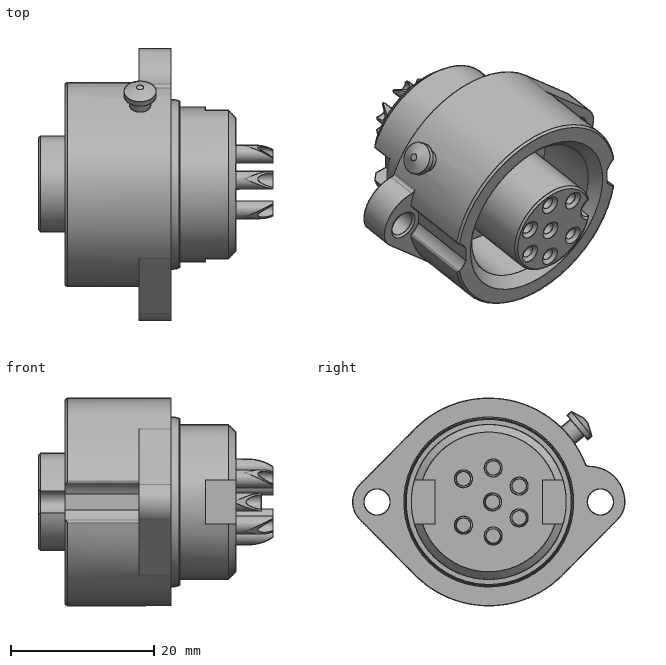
import cadquery as cq
import math


SHELL_FRONT = 3.7
FLANGE_FRONT = 14.0
CAVITY_FLOOR = 14.45
SHELL_REAR = 18.5
COLLAR_REAR = 19.75
SLOT_FRONT = 23.3
PIN_ROOT = 25.38
BODY_REAR = 27.55
PIN_END = 32.7
CENTRE_PIN_END = 31.08

SHELL_R = 14.495
SHELL_CHAMFER_LENGTH = 0.35
SHELL_CHAMFER_DEPTH = 0.25
CAVITY_R = 21.15 / 2
MOUTH_R = 12.0
MOUTH_DEPTH = MOUTH_R - CAVITY_R

COLLAR_R = 11.85
COLLAR_REAR_R = 11.5
COLLAR_CROWN_R = 2.47
COLLAR_CHAMFER = 0.15
BODY_R = 21.6 / 2
BODY_CHAMFER = 1.05
SLOT_WIDTH = 6.08
SLOT_FLOOR = 7.5

EAR_TIP = 19.0
EAR_HOLE_OFFSET = 15.58
EAR_R = EAR_TIP - EAR_HOLE_OFFSET
EAR_HOLE_R = 3.6 / 2
EAR_HOLE_CHAMFER = 0.3
LARGE_EAR_R = 4.98
LARGE_EAR_OFFSET = EAR_TIP - LARGE_EAR_R
EAR_FILLET = 0.57

GROOVE_R = 2.95
GROOVE_FLOOR = 25.7 / 2
GROOVE_FILLET = 0.38

INSERT_R = 13.6 / 2
INSERT_CHAMFER = 0.3
KEYWAY_R = 1.55
KEYWAY_OFFSET = 6.85
SEAL_INNER_R = 6.72
SEAL_CREST_INNER_R = 7.1
SEAL_CREST_OUTER_R = 7.65
SEAL_OUTER_R = 7.9
SEAL_SHOULDER_HEIGHT = 0.45
SEAL_HEIGHT = 0.65

CONTACT_CIRCLE_R = 4.8
CONTACT_PITCH_ANGLE = 55.0
CONTACTS_PER_SIDE = 3
CENTRE_CONTACT_Y = 0.55
SOCKET_R = 1.7 / 2
SOCKET_CHAMFER = 0.5
SOCKET_DEPTH = 4.55
PIN_R = 2.5 / 2
CUP_R = 2.0 / 2
CUP_DEPTH = 3.05
CUP_CUT_LENGTH = 3.95

BUTTON_X = 14.17
BUTTON_ANGLE = 40.0
STEM_R = 3.0 / 2
HEAD_R = 4.5 / 2
HEAD_TIP_R = 0.5
HEAD_BASE = 16.15
HEAD_RIM = 16.95
HEAD_TIP = 17.65
STEM_ROOT = 13.68


def disc(radius, start, end, y=0, z=0):
    """Cylinder along X from start to end."""
    return cq.Workplane("YZ", origin=(start, y, z)).circle(radius).extrude(end - start)


def cone(radius_start, radius_end, start, end, y=0, z=0):
    """Solid cone frustum along X, for countersinks."""
    outline = [(start, 0), (start, radius_start), (end, radius_end), (end, 0)]
    frustum = cq.Workplane("XY").polyline(outline).close().revolve(360, (0, 0, 0), (1, 0, 0))
    return frustum.translate((0, y, z))


def flank_angle():
    """Angle from the Y axis to the points where an ear flank touches ear and shell."""
    return math.acos((SHELL_R - EAR_R) / EAR_HOLE_OFFSET)


def tangent_half(y_side, z_side):
    """Half ear between the Y axis and one tangent flank."""
    angle = flank_angle()

    def on_ear(a):
        return (y_side * (EAR_HOLE_OFFSET + EAR_R * math.cos(a)), z_side * EAR_R * math.sin(a))

    shell_tangent = (y_side * SHELL_R * math.cos(angle), z_side * SHELL_R * math.sin(angle))
    return (
        cq.Workplane("YZ", origin=(FLANGE_FRONT, 0, 0))
        .lineTo(*on_ear(0))
        .threePointArc(on_ear(angle / 2), on_ear(angle))
        .lineTo(*shell_tangent)
        .close()
        .extrude(SHELL_REAR - FLANGE_FRONT)
    )


def plain_ear():
    """Ear on -Y: round end joined to the shell by two tangent flanks."""
    return tangent_half(-1, 1).union(tangent_half(-1, -1))


def large_quarter():
    """Upper half of the ear on +Y: a quarter round of larger radius."""
    inner_y = SHELL_R - LARGE_EAR_R
    diagonal = LARGE_EAR_R * math.sqrt(0.5)
    return (
        cq.Workplane("YZ", origin=(FLANGE_FRONT, 0, 0))
        .moveTo(inner_y, 0)
        .lineTo(inner_y, LARGE_EAR_R)
        .lineTo(LARGE_EAR_OFFSET, LARGE_EAR_R)
        .threePointArc((LARGE_EAR_OFFSET + diagonal, diagonal), (LARGE_EAR_OFFSET + LARGE_EAR_R, 0))
        .close()
        .extrude(SHELL_REAR - FLANGE_FRONT)
    )


def make_flange():
    """Full-radius disc with two ears, one filleted into it, opened by the end of the cavity."""
    flange = disc(SHELL_R, FLANGE_FRONT, SHELL_REAR)
    flange = flange.union(plain_ear()).union(tangent_half(1, -1)).union(large_quarter())
    corner = ((FLANGE_FRONT + SHELL_REAR) / 2, math.sqrt(SHELL_R**2 - LARGE_EAR_R**2), LARGE_EAR_R)
    flange = flange.edges(cq.selectors.NearestToPointSelector(corner)).fillet(EAR_FILLET)
    return flange.cut(disc(CAVITY_R, FLANGE_FRONT, CAVITY_FLOOR))


def ear_hole(y):
    """Cutter for one screw hole, chamfered at the front."""
    hole = disc(EAR_HOLE_R, FLANGE_FRONT, SHELL_REAR, y)
    sink_end = FLANGE_FRONT + EAR_HOLE_CHAMFER
    return hole.union(cone(EAR_HOLE_R + EAR_HOLE_CHAMFER, EAR_HOLE_R, FLANGE_FRONT, sink_end, y))


def make_barrel():
    """Shell, collar and rear body turned in one piece, with the mating cavity open at the front."""
    outline = (
        cq.Workplane("XY")
        .moveTo(CAVITY_FLOOR, 0)
        .lineTo(CAVITY_FLOOR, CAVITY_R)
        .lineTo(SHELL_FRONT + MOUTH_DEPTH, CAVITY_R)
        .lineTo(SHELL_FRONT, MOUTH_R)
        .lineTo(SHELL_FRONT, SHELL_R - SHELL_CHAMFER_DEPTH)
        .lineTo(SHELL_FRONT + SHELL_CHAMFER_LENGTH, SHELL_R)
        .lineTo(SHELL_REAR, SHELL_R)
        .lineTo(SHELL_REAR, COLLAR_R)
        .radiusArc((COLLAR_REAR - COLLAR_CHAMFER, COLLAR_REAR_R + COLLAR_CHAMFER), COLLAR_CROWN_R)
        .lineTo(COLLAR_REAR, COLLAR_REAR_R)
        .lineTo(COLLAR_REAR, BODY_R)
        .lineTo(BODY_REAR - BODY_CHAMFER, BODY_R)
        .lineTo(BODY_REAR, BODY_R - BODY_CHAMFER)
        .lineTo(BODY_REAR, 0)
        .close()
    )
    return outline.revolve(360, (0, 0, 0), (1, 0, 0))


def screw_groove(y_side):
    """Cutter for one groove: round about the ear hole, with a flat floor towards the cavity."""
    cutter = disc(GROOVE_R, SHELL_FRONT, FLANGE_FRONT, y_side * EAR_HOLE_OFFSET)
    length = FLANGE_FRONT - SHELL_FRONT
    inner_side = cq.Workplane("XY").box(length, 2 * GROOVE_FLOOR, 2 * GROOVE_R)
    return cutter.cut(inner_side.translate((SHELL_FRONT + length / 2, 0, 0)))


def round_groove_mouths(barrel):
    """Fillet the four long edges where the grooves leave the shell surface."""
    mouth_y = (SHELL_R**2 + EAR_HOLE_OFFSET**2 - GROOVE_R**2) / (2 * EAR_HOLE_OFFSET)
    mouth_z = math.sqrt(SHELL_R**2 - mouth_y**2)
    mid_x = (SHELL_FRONT + FLANGE_FRONT) / 2
    for y in (-mouth_y, mouth_y):
        for z in (-mouth_z, mouth_z):
            edge = barrel.edges("|X").edges(cq.selectors.NearestToPointSelector((mid_x, y, z)))
            barrel = edge.fillet(GROOVE_FILLET)
    return barrel


def rear_slot(y_side):
    """Cutter for one flat-floored slot in the side of the rear body, open to the rear."""
    length = BODY_REAR - SLOT_FRONT
    depth = BODY_R - SLOT_FLOOR
    centre = (SLOT_FRONT + length / 2, y_side * (SLOT_FLOOR + depth / 2), 0)
    return cq.Workplane("XY").box(length, depth, SLOT_WIDTH).translate(centre)


def contact_positions():
    """(y, z, angle) of the six outer contacts, mirrored about the Y axis."""
    positions = []
    for side in (1, -1):
        for i in range(CONTACTS_PER_SIDE):
            degrees = side * CONTACT_PITCH_ANGLE * (i + 0.5)
            angle = math.radians(degrees)
            y = CONTACT_CIRCLE_R * math.cos(angle)
            z = CONTACT_CIRCLE_R * math.sin(angle)
            positions.append((y, z, degrees))
    return positions


def make_insert():
    """Chamfered contact carrier with a round keyway on -Y."""
    insert = disc(INSERT_R, 0, CAVITY_FLOOR)
    insert = insert.cut(disc(KEYWAY_R, 0, CAVITY_FLOOR, -KEYWAY_OFFSET))
    return insert.faces("<X").chamfer(INSERT_CHAMFER)


def make_seal():
    """Ring with sloping sides and a rounded crest on the cavity floor, around the insert."""
    shoulder = CAVITY_FLOOR - SEAL_SHOULDER_HEIGHT
    crest = (CAVITY_FLOOR - SEAL_HEIGHT, (SEAL_CREST_INNER_R + SEAL_CREST_OUTER_R) / 2)
    return (
        cq.Workplane("XY")
        .moveTo(CAVITY_FLOOR, SEAL_INNER_R)
        .lineTo(shoulder, SEAL_CREST_INNER_R)
        .threePointArc(crest, (shoulder, SEAL_CREST_OUTER_R))
        .lineTo(CAVITY_FLOOR, SEAL_OUTER_R)
        .close()
        .revolve(360, (0, 0, 0), (1, 0, 0))
    )


def socket(y, z):
    """Cutter for one countersunk contact hole in the mating face."""
    hole = disc(SOCKET_R, 0, SOCKET_DEPTH, y, z)
    return hole.union(cone(SOCKET_R + SOCKET_CHAMFER, SOCKET_R, 0, SOCKET_CHAMFER, y, z))


def solder_pin(end, y, z, degrees):
    """Solder cup whose open side faces the given direction, measured from +Y towards +Z."""
    pin = disc(PIN_R, PIN_ROOT, end)
    pin = pin.cut(disc(CUP_R, end - CUP_DEPTH, end))
    cut_radius = (CUP_CUT_LENGTH**2 + PIN_R**2) / (2 * PIN_R)
    opening = (
        cq.Workplane("XY", origin=(0, 0, -PIN_R))
        .moveTo(end - CUP_CUT_LENGTH, PIN_R)
        .radiusArc((end, 0), cut_radius)
        .lineTo(end, PIN_R)
        .close()
        .extrude(2 * PIN_R)
    )
    return pin.cut(opening).rotate((0, 0, 0), (1, 0, 0), degrees).translate((0, y, z))


def make_button():
    """Stem with a conical mushroom head, tilted from Z towards +Y."""
    button = (
        cq.Workplane("XZ")
        .moveTo(0, STEM_ROOT)
        .lineTo(STEM_R, STEM_ROOT)
        .lineTo(STEM_R, HEAD_BASE)
        .lineTo(HEAD_R, HEAD_BASE)
        .lineTo(HEAD_R, HEAD_RIM)
        .lineTo(HEAD_TIP_R, HEAD_TIP)
        .lineTo(0, HEAD_TIP)
        .close()
        .revolve(360, (0, 0, 0), (0, 1, 0))
    )
    return button.rotate((0, 0, 0), (1, 0, 0), BUTTON_ANGLE - 90).translate((BUTTON_X, 0, 0))


body = make_barrel()
for side in (1, -1):
    body = body.cut(screw_groove(side)).cut(rear_slot(side))
body = round_groove_mouths(body).union(make_flange())
for side in (1, -1):
    body = body.cut(ear_hole(side * EAR_HOLE_OFFSET))

result = body.union(make_insert()).union(make_seal()).union(make_button())

result = result.cut(socket(CENTRE_CONTACT_Y, 0))
result = result.union(solder_pin(CENTRE_PIN_END, CENTRE_CONTACT_Y, 0, 180))
for contact_y, contact_z, contact_angle in contact_positions():
    result = result.cut(socket(contact_y, contact_z))
    result = result.union(solder_pin(PIN_END, contact_y, contact_z, contact_angle))